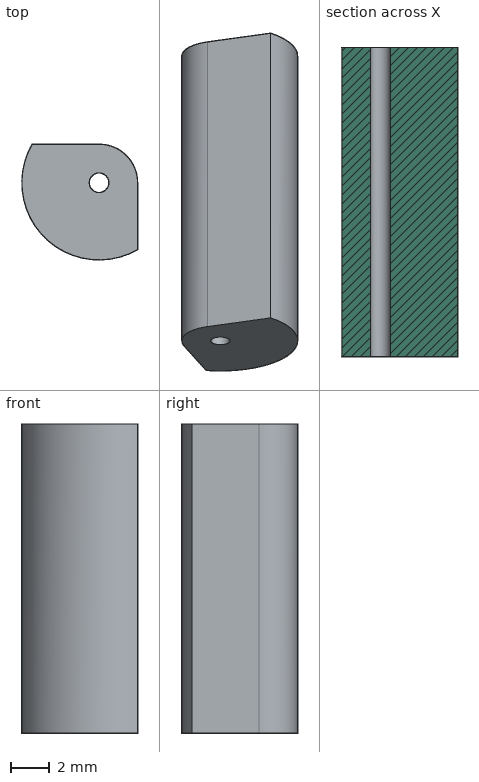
import cadquery as cq
import math

length = 16.0
body_radius = 4.0
flat_offset = 2.0
hole_diameter = 1.0

corner_radius = flat_offset

flat_end = math.sqrt(body_radius**2 - flat_offset**2)

diagonal = math.sqrt(0.5)
corner_middle = (corner_radius * diagonal, corner_radius * diagonal)
body_middle = (-body_radius * diagonal, -body_radius * diagonal)


def make_body():
    """Prism with two perpendicular flats, a rounded corner and a large round side."""
    return (
        cq.Workplane("XY")
        .moveTo(-flat_end, flat_offset)
        .lineTo(0, flat_offset)
        .threePointArc(corner_middle, (flat_offset, 0))
        .lineTo(flat_offset, -flat_end)
        .threePointArc(body_middle, (-flat_end, flat_offset))
        .close()
        .extrude(length)
    )


def make_pin_hole():
    """Cylinder that cuts the through hole along the axis."""
    return cq.Workplane("XY").circle(hole_diameter / 2).extrude(length)


result = make_body().cut(make_pin_hole())